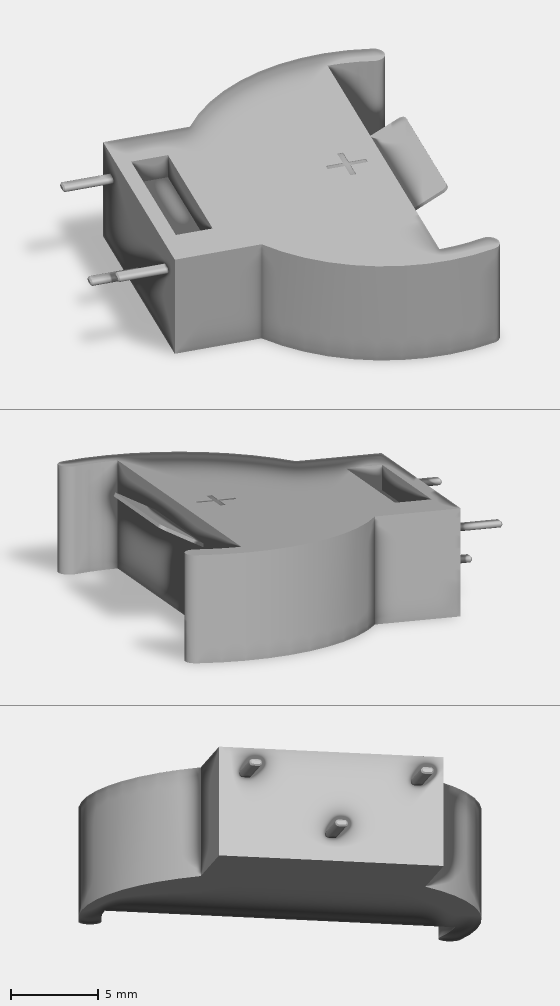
import cadquery as cq
import math

HEIGHT = 6.4
CRADLE_RADIUS = 11.55
ARM_INNER_RADIUS = 10.23
ARM_END_Y = 3.5
BLOCK_HALF_WIDTH = 6.55
BLOCK_BACK_Y = -14.73

WINDOW_WIDTH = 8.17
WINDOW_FRONT_Y = -11.64
WINDOW_BACK_Y = -13.85

MARK_Y = -2.22
MARK_LENGTH = 2.4
MARK_WIDTH = 0.35
MARK_DEPTH = 0.05

SHEET = 0.2
CONTACT_DEPTH = 1.5
TAB_WIDTH = 8.04
TAB_END_Y = 2.65
TAB_BEND_Y = -0.23
TAB_ANGLE = 27.0
TAB_CORNER_RADIUS = 0.4

PIN_WIDTH = 0.75
PIN_THICKNESS = 0.4
PIN_INSET = 1.35
PIN_SPACING = 5.0
PIN_END_Y = -17.73
PIN_TIP_CHAMFER = 0.1

CONTACT_TOP = HEIGHT - CONTACT_DEPTH
CONTACT_BOTTOM = CONTACT_TOP - SHEET
UPPER_PIN_BOTTOM = HEIGHT - PIN_INSET - PIN_THICKNESS
LOWER_PIN_BOTTOM = PIN_INSET


def box(width, y_min, y_max, z_min, z_max):
    """Box centred in X, given by its width and its limits in Y and Z."""
    return cq.Workplane("XY").box(width, y_max - y_min, z_max - z_min).translate(
        (0, (y_min + y_max) / 2, (z_min + z_max) / 2)
    )


def make_pin(x, bottom):
    """Flat pin with fully rounded sides, from the window back wall out to -Y."""
    return (
        cq.Workplane("XZ", origin=(x, WINDOW_BACK_Y, bottom + PIN_THICKNESS / 2))
        .slot2D(PIN_WIDTH, PIN_THICKNESS)
        .extrude(WINDOW_BACK_Y - PIN_END_Y)
        .faces("<Y")
        .chamfer(PIN_TIP_CHAMFER)
    )


def make_tab_strip():
    """Strip lying flat in the housing, flared upward at the cell opening."""
    angle = math.radians(TAB_ANGLE)
    lower_run = TAB_END_Y - TAB_BEND_Y
    lower_end_z = CONTACT_BOTTOM + lower_run * math.tan(angle)
    upper_end_y = TAB_END_Y - SHEET * math.sin(angle)
    upper_end_z = lower_end_z + SHEET * math.cos(angle)
    upper_bend_y = TAB_BEND_Y - SHEET * math.tan(angle / 2)
    strip = (
        cq.Workplane("YZ")
        .moveTo(WINDOW_FRONT_Y, CONTACT_BOTTOM)
        .lineTo(TAB_BEND_Y, CONTACT_BOTTOM)
        .lineTo(TAB_END_Y, lower_end_z)
        .lineTo(upper_end_y, upper_end_z)
        .lineTo(upper_bend_y, CONTACT_TOP)
        .lineTo(WINDOW_FRONT_Y, CONTACT_TOP)
        .close()
        .extrude(TAB_WIDTH / 2, both=True)
    )
    through_sheet = cq.Vector(0, -math.sin(angle), math.cos(angle))
    tip_corners = strip.edges(cq.selectors.ParallelDirSelector(through_sheet))
    return tip_corners.fillet(TAB_CORNER_RADIUS)


def make_contact():
    """Contact: tab strip, rear crossbar and two pins in one piece."""
    crossbar_width = 2 * PIN_SPACING + PIN_WIDTH
    crossbar = box(crossbar_width, WINDOW_BACK_Y, WINDOW_FRONT_Y, CONTACT_BOTTOM, CONTACT_TOP)
    contact = make_tab_strip().union(crossbar)
    for x in (-PIN_SPACING, PIN_SPACING):
        contact = contact.union(make_pin(x, UPPER_PIN_BOTTOM))
    return contact


def make_cradle():
    """Solid rear half of the cradle with two arms that end in full rounds."""
    cap_radius = (CRADLE_RADIUS - ARM_INNER_RADIUS) / 2
    middle_radius = CRADLE_RADIUS - cap_radius
    cap_y = ARM_END_Y - cap_radius
    arm_angle = math.asin(cap_y / middle_radius)

    def polar(radius, angle):
        return (radius * math.cos(angle), radius * math.sin(angle))

    inner_end_x, inner_end_y = polar(ARM_INNER_RADIUS, arm_angle)
    outer_end_x, outer_end_y = polar(CRADLE_RADIUS, arm_angle)
    inner_mid_x, inner_mid_y = polar(ARM_INNER_RADIUS, arm_angle / 2)
    middle_x, middle_y = polar(middle_radius, arm_angle)
    cap_top_x = middle_x - cap_radius * math.sin(arm_angle)
    cap_top_y = middle_y + cap_radius * math.cos(arm_angle)
    return (
        cq.Workplane("XY")
        .moveTo(-ARM_INNER_RADIUS, 0)
        .lineTo(ARM_INNER_RADIUS, 0)
        .threePointArc((inner_mid_x, inner_mid_y), (inner_end_x, inner_end_y))
        .threePointArc((cap_top_x, cap_top_y), (outer_end_x, outer_end_y))
        .threePointArc((0, -CRADLE_RADIUS), (-outer_end_x, outer_end_y))
        .threePointArc((-cap_top_x, cap_top_y), (-inner_end_x, inner_end_y))
        .threePointArc((-inner_mid_x, inner_mid_y), (-ARM_INNER_RADIUS, 0))
        .close()
        .extrude(HEIGHT)
    )


def make_mark():
    """Cutter for the engraved plus mark."""
    half_length = MARK_LENGTH / 2
    half_width = MARK_WIDTH / 2
    floor = HEIGHT - MARK_DEPTH
    across = box(MARK_LENGTH, MARK_Y - half_width, MARK_Y + half_width, floor, HEIGHT)
    along = box(MARK_WIDTH, MARK_Y - half_length, MARK_Y + half_length, floor, HEIGHT)
    return across.union(along)


def make_housing(contact):
    """Housing with its moulded-in lower pin and a recess that matches the contact."""
    block = box(2 * BLOCK_HALF_WIDTH, BLOCK_BACK_Y, 0, 0, HEIGHT)
    window = box(WINDOW_WIDTH, WINDOW_BACK_Y, WINDOW_FRONT_Y, CONTACT_TOP, HEIGHT)
    lower_pin = make_pin(0, LOWER_PIN_BOTTOM)
    housing = make_cradle().union(block).union(lower_pin)
    return housing.cut(window).cut(make_mark()).cut(contact)


contact = make_contact()
housing = make_housing(contact)

result = cq.Compound.makeCompound([housing.val(), contact.val()])